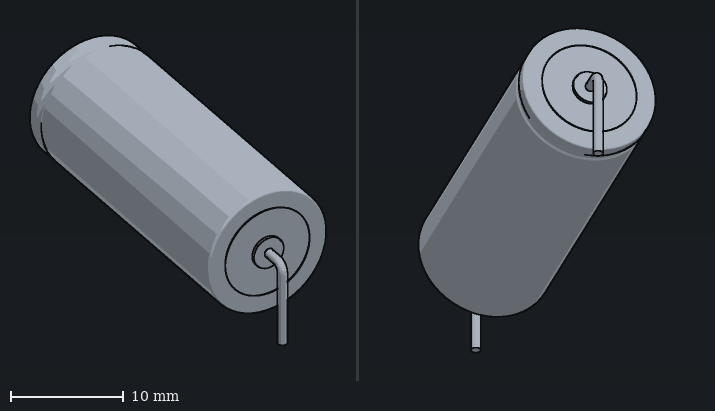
import cadquery as cq
import math

overall_length = 35.9
can_length = 30.0
can_radius = 6.25
rim_fillet = 0.2

groove_start = 1.08
groove_width = 1.1
groove_shoulder = 0.2
groove_depth = 0.18

recess_radius = 4.4
recess_depth = 0.07
seal_diameter = 3.12
seal_height = 0.2

lead_diameter = 0.9
bend_radius = 0.9
lead_drop = 8.25

stripe_angle = 45.0
mark_count = 3
mark_pitch = 10.0
mark_length = 5.0
mark_width = 1.22

half_can = can_length / 2
lead_x = (overall_length - lead_diameter) / 2


def x_cylinder(radius, start, length):
    return cq.Workplane("YZ", origin=(start, 0, 0)).circle(radius).extrude(length)


def make_can():
    can = x_cylinder(can_radius, -half_can, can_length).edges().fillet(rim_fillet)
    for start in (-half_can, half_can - recess_depth):
        can = can.cut(x_cylinder(recess_radius, start, recess_depth))
    return can.cut(make_groove())


def make_groove():
    """Ring with rounded shoulders blending into a hollow floor."""
    start = groove_start - half_can
    middle = start + groove_width / 2
    end = start + groove_width
    half_width = groove_width / 2
    blend_depth = groove_depth * groove_shoulder / half_width
    blend_radius = can_radius - blend_depth
    floor_radius = can_radius - groove_depth
    return (
        cq.Workplane("XY")
        .moveTo(start, can_radius)
        .threePointArc(
            shoulder_midpoint(start, blend_depth, 1), (start + groove_shoulder, blend_radius)
        )
        .threePointArc((middle, floor_radius), (end - groove_shoulder, blend_radius))
        .threePointArc(shoulder_midpoint(end, blend_depth, -1), (end, can_radius))
        .close()
        .revolve(360, (0, 0, 0), (1, 0, 0))
    )


def shoulder_midpoint(edge_x, depth, direction):
    """Midpoint of a shoulder arc that leaves the can wall tangentially."""
    arc_radius = (groove_shoulder**2 + depth**2) / (2 * depth)
    half_angle = math.asin(groove_shoulder / arc_radius) / 2
    x = edge_x + direction * arc_radius * math.sin(half_angle)
    return x, can_radius - arc_radius * (1 - math.cos(half_angle))


def make_terminal():
    """Seal and bent lead at the -X end."""
    seal = x_cylinder(seal_diameter / 2, -half_can - seal_height, seal_height + recess_depth)
    lead_path = (
        cq.Workplane("XZ")
        .moveTo(-half_can, 0)
        .lineTo(bend_radius - lead_x, 0)
        .radiusArc((-lead_x, -bend_radius), -bend_radius)
        .lineTo(-lead_x, -lead_drop)
    )
    lead = cq.Workplane("YZ", origin=(-half_can, 0, 0)).circle(lead_diameter / 2).sweep(lead_path)
    return seal.union(lead)


def make_stripe(can):
    """Top sector of the can wall, outside the end recess radius."""
    reach = 2 * can_radius
    half_span = reach * math.tan(math.radians(stripe_angle / 2))
    sector = (
        cq.Workplane("YZ", origin=(-half_can, 0, 0))
        .polyline([(0, 0), (half_span, reach), (-half_span, reach)])
        .close()
        .extrude(can_length)
        .cut(x_cylinder(recess_radius, -half_can, can_length))
    )
    return can.intersect(sector)


def make_marks(stripe):
    slots = (
        cq.Workplane("XY")
        .rarray(mark_pitch, 0.35, mark_count, 1)
        .slot2D(mark_length, mark_width)
        .extrude(2 * can_radius)
    )
    return stripe.intersect(slots)


can = make_can()
stripe = make_stripe(can)
marks = make_marks(stripe)
terminal = make_terminal()

result = can.cut(stripe).union(stripe.cut(marks), clean=False).union(marks, clean=False)
for end in (terminal, terminal.mirror("YZ")):
    result = result.union(end, clean=False)